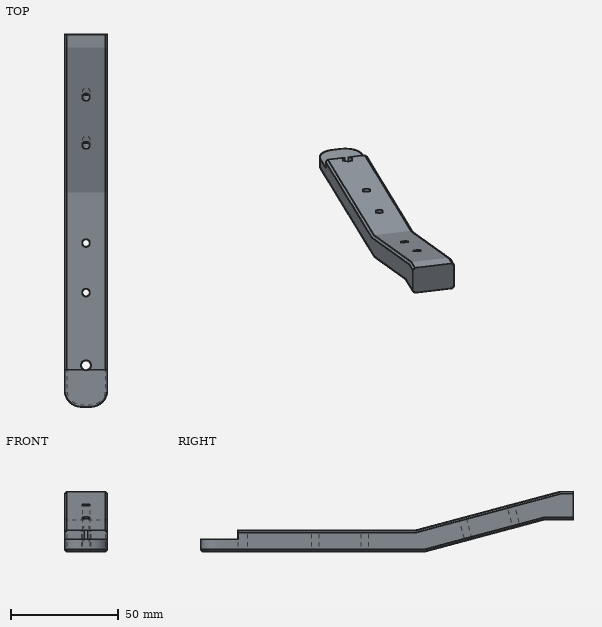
import cadquery as cq
import math

length = 173.7
width = 20.0
height = 28.0
edge_chamfer = 1.0

arm_thickness = 9.9
rear_thickness = 13.0
slope_angle = 15.0
top_bend_y = 100.0
bottom_bend_y = 104.4
rear_bottom_z = height - rear_thickness
slope = math.tan(math.radians(slope_angle))
top_rear_bend_y = top_bend_y + (height - arm_thickness) / slope
bottom_rear_bend_y = bottom_bend_y + rear_bottom_z / slope

tip_radius = 8.0
ledge_length = 17.4
ledge_thickness = 5.9

small_diameter = 3.5
arm_hole_ys = (53.3, 76.5)
slope_hole_ys = (122.0, 144.3)
ledge_hole_diameter = 4.5
ledge_hole_y = 19.5


def bent_bar():
    """Bent bar with rounded tip corners and chamfered long edges."""
    profile = [
        (0, 0),
        (bottom_bend_y, 0),
        (bottom_rear_bend_y, rear_bottom_z),
        (length, rear_bottom_z),
        (length, height),
        (top_rear_bend_y, height),
        (top_bend_y, arm_thickness),
        (0, arm_thickness),
    ]
    bar = cq.Workplane("YZ").polyline(profile).close().extrude(width / 2, both=True)
    bar = bar.edges("|Z and <Y").fillet(tip_radius)
    return bar.edges("(not (|X or |Z)) or (|X and <Y)").chamfer(edge_chamfer)


def ledge_cutter():
    """Block that lowers the top of the tip."""
    return (
        cq.Workplane("XY")
        .box(width, ledge_length, height, centered=(True, False, False))
        .translate((0, 0, ledge_thickness))
    )


def vertical_hole(y, diameter):
    """Through-hole cutter across the arm."""
    return cq.Workplane("XY").center(0, y).circle(diameter / 2).extrude(height)


def slope_hole(y):
    """Through-hole cutter square to the sloped top face, centred at y on that face."""
    surface_point = cq.Vector(0, y, arm_thickness + (y - top_bend_y) * slope)
    normal = cq.Vector(0, -slope, 1)
    plane = cq.Plane(origin=surface_point, xDir=(1, 0, 0), normal=normal)
    return cq.Workplane(plane).circle(small_diameter / 2).extrude(height, both=True)


result = bent_bar().cut(ledge_cutter())
result = result.cut(vertical_hole(ledge_hole_y, ledge_hole_diameter))
for hole_y in arm_hole_ys:
    result = result.cut(vertical_hole(hole_y, small_diameter))
for hole_y in slope_hole_ys:
    result = result.cut(slope_hole(hole_y))